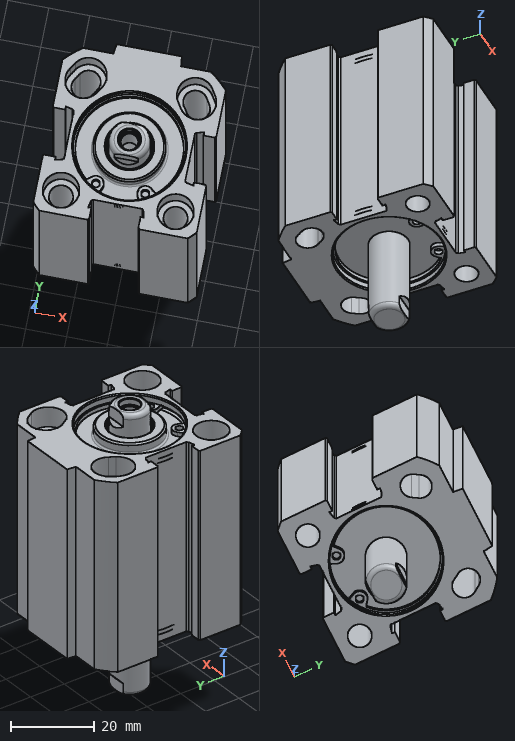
import cadquery as cq
import math


housing_height = 53.5
body_width = 40.0
half_width = body_width / 2
shoulder_y = 22.0
tab_y = 24.5
overall_depth = 44.5
front_y = tab_y - overall_depth
tab_tip_width = 16.0
tab_root_width = 16.5
corner_radius = 27.0

slot_mouth_width = 12.0
slot_undercut_width = 13.6
slot_floor_width = 12.0
slot_corner_chamfer = 0.4
slot_mouth_chamfer = 0.3
slot_lip_depth = 3.1
side_floor_offset = 14.8
front_floor_offset = 14.9

hole_pitch = 28.0
hole_diameter = 5.8
counterbore_diameter = 8.8
counterbore_depth = 5.6
rear_hole_shift_in = 0.95
rear_hole_shift_back = 1.5

recess_diameter = 27.0
recess_chamfer = 0.3
groove_diameter = 29.3
ring_thickness = 1.2
ring_depth = 1.9
recess_depth = ring_depth + ring_thickness

ring_inner_diameter = 26.0
lug_radius = 1.9
lug_hole_diameter = 2.0
lug_center_radius = 11.9
lug_angle = 30.5
lug_root_angle = 41.0
gap_half_angle = 21.5
ring_turn = -1.0

cover_thickness = 9.55
cover_bore_diameter = 10.5
cover_top = housing_height - recess_depth
cover_bottom = cover_top - cover_thickness
boss_diameter = 17.5
boss_top = housing_height - 0.3
boss_chamfer = 0.5
boss_root_fillet = 0.5
wiper_bore_diameter = 11.4
wiper_bore_depth = 0.95
wiper_chamfer = 0.3
bore_edge_chamfer = 0.2

rod_diameter = 10.0
rod_length = 79.5
rod_overhang_below = 20.5
rod_end_fillet = 1.3
flat_spacing = 8.1
flat_length = 3.5
thread_mouth_diameter = 5.65
thread_diameter = 5.25
thread_depth = 1.75
pilot_diameter = 4.1
pilot_edge_chamfer = 0.2
pilot_depth = 9.55
drill_point_angle = 118.0


def polar(radius, angle_from_front):
    """Point at a radius and an angle in degrees, counterclockwise from the -Y direction."""
    angle = math.radians(angle_from_front)
    return (radius * math.sin(angle), -radius * math.cos(angle))


def mirrored_outline(right_side):
    """Closed outline from its right half, listed from front to back."""
    left_side = [(-x, y) for x, y in reversed(right_side)]
    return cq.Workplane("XY").polyline(right_side + left_side).close()


def cylinder(diameter, bottom, top):
    return cq.Workplane("XY", origin=(0, 0, bottom)).circle(diameter / 2).extrude(top - bottom)


def revolved(profile):
    """Revolve a closed XZ profile about the Z axis."""
    return profile.close().revolve(360, (0, 0, 0), (0, 1, 0))



def make_outer_block():
    """Square body with a tapered rear tab, its corners turned to one radius about the axis."""
    block = mirrored_outline([
        (half_width, front_y),
        (half_width, shoulder_y),
        (tab_root_width / 2, shoulder_y),
        (tab_tip_width / 2, tab_y),
    ]).extrude(housing_height)
    return block.intersect(cylinder(2 * corner_radius, 0, housing_height))


def make_t_slot(face_offset, floor_offset, turn):
    """Cutter for a T-slot in the front face, turned about the Z axis to its own face."""
    half_mouth = slot_mouth_width / 2
    half_floor = slot_floor_width / 2
    lip_y = slot_lip_depth - face_offset
    profile = mirrored_outline([
        (half_mouth + slot_mouth_chamfer, -face_offset),
        (half_mouth, slot_mouth_chamfer - face_offset),
        (half_mouth, lip_y),
        (slot_undercut_width / 2, lip_y),
        (half_floor + slot_corner_chamfer, -floor_offset - slot_corner_chamfer),
        (half_floor, -floor_offset),
    ])
    return profile.extrude(housing_height).rotate((0, 0, 0), (0, 0, 1), turn)


def make_front_hole(side, diameter, bottom):
    """Round cutter from a floor up to the top face."""
    place = (side * hole_pitch / 2, -hole_pitch / 2, 0)
    return cylinder(diameter, bottom, housing_height).translate(place)


def make_rear_hole(side, diameter, bottom):
    """Elongated cutter from a floor up to the top face."""
    shift_x = -side * rear_hole_shift_in
    center = (
        side * hole_pitch / 2 + shift_x / 2,
        hole_pitch / 2 + rear_hole_shift_back / 2,
        bottom,
    )
    length = diameter + math.hypot(shift_x, rear_hole_shift_back)
    angle = math.degrees(math.atan2(rear_hole_shift_back, shift_x))
    outline = cq.Workplane("XY", origin=center).slot2D(length, diameter, angle)
    return outline.extrude(housing_height - bottom)


def make_end_recess():
    """Cutter for the recess at the bottom end: chamfered mouth, bore and ring groove."""
    recess_radius = recess_diameter / 2
    groove_radius = groove_diameter / 2
    return revolved(cq.Workplane("XZ").polyline([
        (0, 0),
        (recess_radius + recess_chamfer, 0),
        (recess_radius, recess_chamfer),
        (recess_radius, ring_depth),
        (groove_radius, ring_depth),
        (groove_radius, recess_depth),
        (0, recess_depth),
    ]))


def make_housing():
    body = make_outer_block()
    body = body.cut(make_t_slot(-front_y, front_floor_offset, 0))
    for turn in (-90, 90):
        body = body.cut(make_t_slot(half_width, side_floor_offset, turn))

    counterbore_floor = housing_height - counterbore_depth
    for make_hole in (make_front_hole, make_rear_hole):
        for side in (-1, 1):
            body = body.cut(make_hole(side, hole_diameter, 0))
            body = body.cut(make_hole(side, counterbore_diameter, counterbore_floor))

    bottom_recess = make_end_recess()
    top_recess = bottom_recess.mirror("XY").translate((0, 0, housing_height))
    body = body.cut(bottom_recess).cut(top_recess)
    body = body.cut(cylinder(recess_diameter, cover_bottom, cover_top))
    return body.cut(cylinder(rod_diameter, 0, housing_height))



def make_lug(side):
    """Round eye joined to the ring by a web with a straight, tangent flank."""
    center = polar(lug_center_radius, side * lug_angle)
    root = polar(ring_inner_diameter / 2, side * lug_root_angle)
    dx = root[0] - center[0]
    dy = root[1] - center[1]
    tangent_angle = math.atan2(dy, dx) + side * math.acos(lug_radius / math.hypot(dx, dy))
    tangent_point = (
        center[0] + lug_radius * math.cos(tangent_angle),
        center[1] + lug_radius * math.sin(tangent_angle),
    )
    inside_band = (ring_inner_diameter + groove_diameter) / 4
    gap_edge_radius = lug_center_radius * math.cos(math.radians(lug_angle - gap_half_angle))
    web = cq.Workplane("XY").polyline([
        center,
        polar(gap_edge_radius, side * gap_half_angle),
        polar(inside_band, side * gap_half_angle),
        polar(inside_band, side * lug_root_angle),
        root,
        tangent_point,
    ]).close().extrude(ring_thickness)
    eye = cylinder(2 * lug_radius, 0, ring_thickness).translate((*center, 0))
    eye = eye.intersect(cylinder(recess_diameter, 0, ring_thickness))
    hole = cylinder(lug_hole_diameter, 0, ring_thickness).translate((*center, 0))
    return web.union(eye).cut(hole)


def make_ring(bottom):
    """Internal retaining ring with two eyed lugs beside its gap."""
    gap = cq.Workplane("XY").polyline([
        (0, 0),
        polar(groove_diameter, -gap_half_angle),
        polar(groove_diameter, gap_half_angle),
    ]).close().extrude(ring_thickness)
    ring = cylinder(groove_diameter, 0, ring_thickness)
    ring = ring.cut(cylinder(ring_inner_diameter, 0, ring_thickness)).cut(gap)
    for side in (-1, 1):
        ring = ring.union(make_lug(side))
    return ring.rotate((0, 0, 0), (0, 0, 1), ring_turn).translate((0, 0, bottom))



def make_cover():
    """Disc held under the top ring, with a raised boss around the rod."""
    bore_radius = cover_bore_diameter / 2
    wiper_radius = wiper_bore_diameter / 2
    boss_radius = boss_diameter / 2
    wiper_floor = boss_top - wiper_bore_depth
    return revolved(
        cq.Workplane("XZ")
        .moveTo(bore_radius, cover_bottom)
        .lineTo(recess_diameter / 2, cover_bottom)
        .lineTo(recess_diameter / 2, cover_top)
        .lineTo(boss_radius + boss_root_fillet, cover_top)
        .radiusArc((boss_radius, cover_top + boss_root_fillet), boss_root_fillet)
        .lineTo(boss_radius, boss_top - boss_chamfer)
        .lineTo(boss_radius - boss_chamfer, boss_top)
        .lineTo(wiper_radius + wiper_chamfer, boss_top)
        .lineTo(wiper_radius, boss_top - wiper_chamfer)
        .lineTo(wiper_radius, wiper_floor)
        .lineTo(bore_radius + bore_edge_chamfer, wiper_floor)
        .lineTo(bore_radius, wiper_floor - bore_edge_chamfer)
    )



def make_flat_cutter(side):
    """Cutter for a wrench flat at the bottom end, with a 45 degree runout."""
    flat_y = side * flat_spacing / 2
    surface_y = side * rod_diameter / 2
    runout = (rod_diameter - flat_spacing) / 2
    return (
        cq.Workplane("YZ")
        .polyline([
            (flat_y, 0),
            (flat_y, flat_length),
            (surface_y, flat_length + runout),
            (surface_y, 0),
        ])
        .close()
        .extrude(rod_diameter / 2, both=True)
    )


def make_threaded_hole():
    """Cutter for the stepped hole in the top end, ending in a drill point."""
    mouth_radius = thread_mouth_diameter / 2
    thread_radius = thread_diameter / 2
    pilot_radius = pilot_diameter / 2
    step_z = rod_length - thread_depth
    pilot_floor = rod_length - pilot_depth
    point_height = pilot_radius / math.tan(math.radians(drill_point_angle / 2))
    return revolved(cq.Workplane("XZ").polyline([
        (0, rod_length),
        (mouth_radius, rod_length),
        (thread_radius, rod_length - (mouth_radius - thread_radius)),
        (thread_radius, step_z),
        (pilot_radius + pilot_edge_chamfer, step_z),
        (pilot_radius, step_z - pilot_edge_chamfer),
        (pilot_radius, pilot_floor),
        (0, pilot_floor - point_height),
    ]))


def make_rod():
    rod = cylinder(rod_diameter, 0, rod_length).faces("<Z or >Z").edges().fillet(rod_end_fillet)
    for side in (-1, 1):
        bottom_flat = make_flat_cutter(side)
        top_flat = bottom_flat.mirror("XY").translate((0, 0, rod_length))
        rod = rod.cut(bottom_flat).cut(top_flat)
    return rod.cut(make_threaded_hole()).translate((0, 0, -rod_overhang_below))


housing = make_housing()
cover = make_cover()
rod = make_rod()
rings = [make_ring(bottom) for bottom in (ring_depth, cover_top)]

result = cq.Compound.makeCompound([
    housing.solids().val(),
    cover.solids().val(),
    rod.solids().val(),
    *[ring.solids().val() for ring in rings],
])